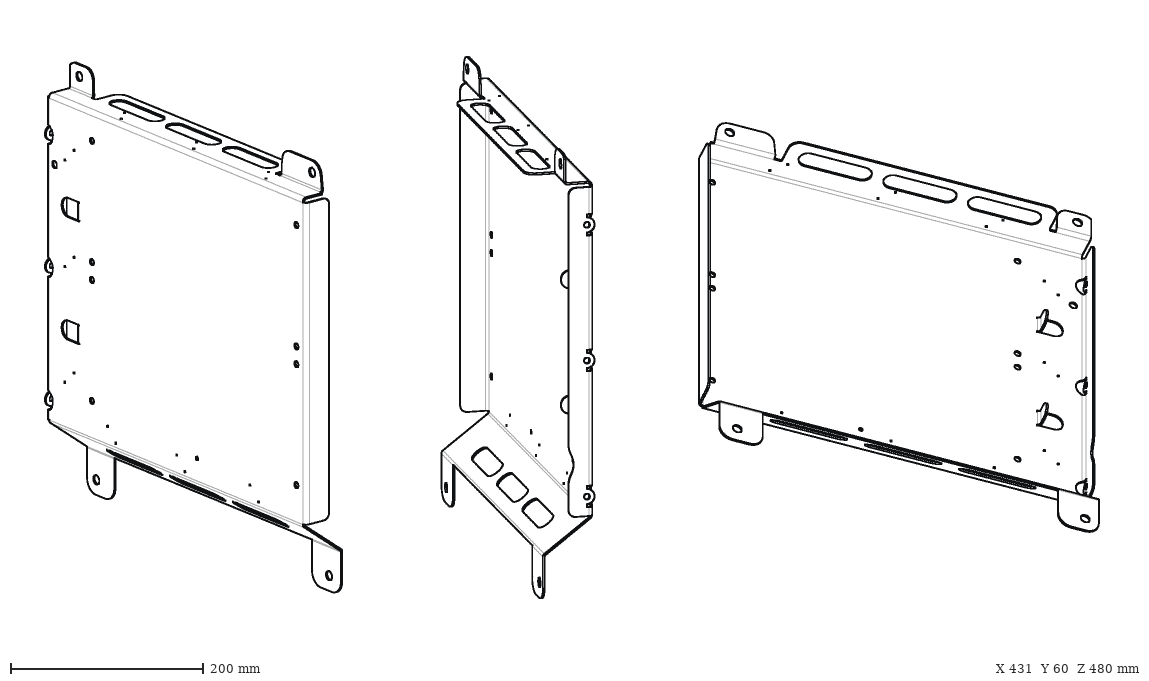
import cadquery as cq
import math

thickness = 2.0
wide_bend = 3.0
tight_bend = 2.0

overall_width = 431.0
panel_top = 205.5
panel_bottom = -149.5
panel_front = -29.0
shelf_corner_radius = 12.0
flange_corner_radius = 7.0

shelf_back = 30.0
shelf_step = -2.5
shelf_left = -165.0
shelf_right = 132.0
shelf_notch_radius = 2.0

ramp_angle = 53
ramp_length = 60.5
ramp_edge_z = -191.0
lower_tab_end = -240
lower_tab_left = -165.5
lower_tab_right = 162.5
lower_tab_radius = 15.0

upper_tab_end = 240
left_tab_base = (-213.5, -172.5)
left_tab_tip = (-213.5, -173.3)
left_tab_radii = (12.0, 12.0)
right_tab_base = (140.0, 207.5)
right_tab_tip = (142.5, 203.5)
right_tab_radii = (12.0, 15.0)

left_flange_back = -2.5
right_flange_back = 3.0
flange_notch_z = -93.0
flange_notch_half = 21.5
flange_notch_depth = 5.5

ear_heights = (164.5, 18.0, -128.5)
ear_y = -22.0
ear_radius = 8.0
ear_hole = 6.0
ear_opening_radius = 11.5

shelf_slot_length = 80.0
ramp_slot_length = 84.5
slot_width = 20.0
shelf_slot_centre = -17.5
shelf_slot_pitch = 94.0
shelf_slot_y = 9.0
ramp_slot_centre = -1.5
ramp_slot_pitch = 104.5
ramp_slot_z = -174.0

hook_heights = (93.0, -42.0)
hook_left = -189.5
hook_bend_line = -161.0
hook_width = 21.0
hook_gap = 1.0
hook_back = -7.0
hook_end_radius = 9.0

tab_hole = 10.0
tab_hole_left = -195.5
tab_hole_right = 191.0
upper_tab_hole_z = 227.0
lower_tab_hole_z = -223.0
mount_hole = 6.5
locating_hole = 8.0
cable_hole = 4.0
rivet_hole = 1.78
mount_columns = (-139, 200.0)
mount_rows = (177.5, 43.5, 24, -109.5)
locating_point = (-201.0, 134.5)
cable_point = (35.0, -125.3)
side_rivet_columns = (-169.0, -184.5)
side_rivet_rows = ((159.0, 144), (41.0, 26.5), (-87.0, -101.5))
lower_rivet_rows = {-130.5: (-113.5, 1.5, 123.0), -145.5: (-100.0, 15.0, 137.3)}
shelf_rivet_rows = {-5: (-114.5, 5, 124.5), -19.5: (-101.7, 18.5, 138.5)}

BIG = 960
OVERLAP = 5


middle_y = panel_front + thickness / 2
bend_middle = wide_bend + thickness / 2
bend_outside = wide_bend + thickness
bend_end_y = panel_front + bend_outside
panel_half_width = overall_width / 2 - bend_outside
shelf_top = panel_top + bend_outside
shelf_middle_z = shelf_top - thickness / 2


def direction(angle):
    """Unit vector at an angle in degrees from the local X axis."""
    return cq.Vector(math.cos(math.radians(angle)), math.sin(math.radians(angle)))


def bent_profile(plane, start, heading, lengths, bends):
    """Closed sheet profile: straight lengths joined by (turn angle, inside radius) bends.

    The path is the middle of the sheet and starts along `heading`.
    Each face of the sheet is kept as pieces (first, middle, last); lines have no middle.
    """
    faces = {thickness / 2: [], -thickness / 2: []}
    position = cq.Vector(*start)
    for index, length in enumerate(lengths):
        end = position + direction(heading) * length
        for offset, pieces in faces.items():
            shift = direction(heading + 90) * offset
            pieces.append((position + shift, None, end + shift))
        position = end
        if index == len(bends):
            break
        turn, inside_radius = bends[index]
        side = math.copysign(1, turn)
        radius = inside_radius + thickness / 2
        centre = position + direction(heading + 90 * side) * radius
        outward = heading - 90 * side
        for offset, pieces in faces.items():
            face_radius = radius - side * offset
            angles = (outward, outward + turn / 2, outward + turn)
            pieces.append(tuple(centre + direction(angle) * face_radius for angle in angles))
        position = centre + direction(outward + turn) * radius
        heading += turn

    left_face, right_face = faces.values()
    way_back = [(last, middle, first) for first, middle, last in reversed(right_face)]
    end_cap = (left_face[-1][2], None, way_back[0][0])
    outline = cq.Workplane(plane).moveTo(left_face[0][0].x, left_face[0][0].y)
    for _, middle, last in left_face + [end_cap] + way_back:
        if middle is None:
            outline = outline.lineTo(last.x, last.y)
        else:
            outline = outline.threePointArc((middle.x, middle.y), (last.x, last.y))
    return outline.close()


def box(x, y, z):
    """Block between the (low, high) limits along each axis."""
    size = [high - low for low, high in (x, y, z)]
    return cq.Workplane().box(*size, centered=False).translate((x[0], y[0], z[0]))


def front_holes(points, diameter):
    """Cutters along Y at (x, z) points."""
    return cq.Workplane("XZ").pushPoints(points).circle(diameter / 2).extrude(BIG / 2, both=True)


def main_strip():
    """Shelf, panel, ramp and lower tabs as one bent strip."""
    turn = math.radians(ramp_angle)
    tab_start = (panel_bottom - (bend_middle + tight_bend + thickness / 2) * math.sin(turn)
                 - ramp_length * math.cos(turn))
    lengths = (shelf_back - bend_end_y, panel_top - panel_bottom, ramp_length, tab_start - lower_tab_end)
    bends = ((90, wide_bend), (ramp_angle, wide_bend), (-ramp_angle, tight_bend))
    profile = bent_profile("YZ", (shelf_back, shelf_middle_z), 180, lengths, bends)
    strip = profile.extrude(panel_half_width, both=True)

    between_tabs = box((lower_tab_left, lower_tab_right), (-BIG, BIG), (-BIG, ramp_edge_z))
    strip = strip.cut(between_tabs)
    strip = strip.edges("|Y and <Z").fillet(lower_tab_radius)

    shelf_zone = (panel_top, BIG)
    for x in ((-BIG, shelf_left), (shelf_right, BIG)):
        step = box(x, (shelf_step, BIG), shelf_zone).edges("|Z and <Y").fillet(shelf_notch_radius)
        strip = strip.cut(step)
    return strip.edges("|Z").edges(">Y").fillet(shelf_corner_radius)


def upper_tab(base, tip, corner_radii):
    """Tab rising from the shelf between (left, right) places, tapering towards its tip."""
    rise = upper_tab_end - shelf_top - tight_bend
    start = (shelf_step - OVERLAP, shelf_middle_z)
    profile = bent_profile("YZ", start, 0, (OVERLAP, rise), ((90, tight_bend),))
    sheet = profile.extrude(BIG / 2, both=True)
    root_z = shelf_top - OVERLAP
    corners = [(base[0], root_z), (base[0], shelf_top), (tip[0], upper_tab_end),
               (tip[1], upper_tab_end), (base[1], shelf_top), (base[1], root_z)]
    outline = cq.Workplane("XZ").polyline(corners).close().extrude(BIG / 2, both=True)
    for corner, radius in zip(("<X", ">X"), corner_radii):
        outline = outline.edges("|Y").edges(">Z").edges(corner).fillet(radius)
    within_panel = box((-panel_half_width, panel_half_width), (-BIG, BIG), (0, BIG))
    return sheet.intersect(outline).intersect(within_panel)


def side_flange(back):
    """Flange bent back from the right edge of the panel."""
    length = back - bend_end_y
    start = (panel_half_width - OVERLAP, middle_y)
    profile = bent_profile("XY", start, 0, (OVERLAP, length), ((90, wide_bend),))
    flange = profile.extrude(panel_top - panel_bottom).translate((0, 0, panel_bottom))
    return flange.edges("|X and >Y").fillet(flange_corner_radius)


def left_flange_notch():
    """Smooth dip in the back edge of the left flange, made of two pairs of equal arcs."""
    half, depth = flange_notch_half, flange_notch_depth
    radius = (half ** 2 + depth ** 2) / (4 * depth)
    edge, bottom = left_flange_back, left_flange_back - depth
    return (cq.Workplane("YZ")
            .moveTo(edge, flange_notch_z + half)
            .radiusArc((edge - depth / 2, flange_notch_z + half / 2), radius)
            .radiusArc((bottom, flange_notch_z), -radius)
            .radiusArc((edge - depth / 2, flange_notch_z - half / 2), -radius)
            .radiusArc((edge, flange_notch_z - half), radius)
            .close().extrude(-BIG))


def ear_openings():
    """Round openings across the left bend that free the ears."""
    centres = [(-panel_half_width - bend_outside, z) for z in ear_heights]
    return (cq.Workplane("XZ").pushPoints(centres).circle(ear_opening_radius)
            .extrude(BIG).translate((0, ear_y, 0)))


def ears():
    """Round-ended ears in the plane of the left flange, each with a hole."""
    outer_x = -panel_half_width - bend_outside
    centres = [(ear_y, z) for z in ear_heights]
    plane = cq.Workplane("YZ", origin=(outer_x, 0, 0)).pushPoints(centres)
    return plane.circle(ear_radius).extrude(thickness)


def ear_holes():
    centres = [(ear_y, z) for z in ear_heights]
    return cq.Workplane("YZ").pushPoints(centres).circle(ear_hole / 2).extrude(-BIG)


def hook_window(z):
    radius = hook_width / 2
    return (cq.Workplane("XZ").moveTo(hook_bend_line, z - radius)
            .lineTo(hook_left + radius, z - radius)
            .threePointArc((hook_left, z), (hook_left + radius, z + radius))
            .lineTo(hook_bend_line, z + radius)
            .close().extrude(BIG / 2, both=True))


def hook_tongue(z):
    """Tongue bent back from the right side of its window, with a round end."""
    length = hook_back - bend_end_y
    start = (hook_bend_line + OVERLAP, middle_y)
    profile = bent_profile("XY", start, 180, (OVERLAP, length), ((-90, wide_bend),))
    width = hook_width - 2 * hook_gap
    tongue = profile.extrude(width / 2, both=True).translate((0, 0, z))
    return tongue.edges("|X and >Y").fillet(hook_end_radius)


def shelf_slots():
    centres = [(shelf_slot_centre + i * shelf_slot_pitch, shelf_slot_y) for i in (-1, 0, 1)]
    cutter = cq.Workplane("XY").pushPoints(centres).slot2D(shelf_slot_length, slot_width)
    return cutter.extrude(BIG)


def ramp_slots():
    """Slots square to the ramp."""
    turn = math.radians(ramp_angle)
    ramp_start_z = panel_bottom - bend_middle * math.tan(turn / 2)
    ramp_y = middle_y + (ramp_start_z - ramp_slot_z) * math.tan(turn)
    plane = cq.Plane((0, ramp_y, ramp_slot_z), (1, 0, 0), (0, math.cos(turn), math.sin(turn)))
    centres = [(ramp_slot_centre + i * ramp_slot_pitch, 0) for i in (-1, 0, 1)]
    cutter = cq.Workplane(plane).pushPoints(centres).slot2D(ramp_slot_length, slot_width)
    return cutter.extrude(2 * thickness, both=True)


def panel_holes():
    mounts = [(x, z) for x in mount_columns for z in mount_rows]
    rivets = [point for rows in side_rivet_rows for point in zip(side_rivet_columns, rows)]
    rivets += [(x, z) for z, places in lower_rivet_rows.items() for x in places]
    cutters = front_holes(mounts, mount_hole).union(front_holes(rivets, rivet_hole))
    cutters = cutters.union(front_holes([locating_point], locating_hole))
    return cutters.union(front_holes([cable_point], cable_hole))


def tab_holes():
    points = [(x, z) for x in (tab_hole_left, tab_hole_right) for z in (upper_tab_hole_z, lower_tab_hole_z)]
    return front_holes(points, tab_hole)


def shelf_rivet_holes():
    points = [(x, y) for y, places in shelf_rivet_rows.items() for x in places]
    return cq.Workplane("XY").pushPoints(points).circle(rivet_hole / 2).extrude(BIG)


left_flange = side_flange(left_flange_back).mirror("YZ").cut(left_flange_notch())

result = main_strip().union(side_flange(right_flange_back)).union(left_flange)
result = result.union(upper_tab(left_tab_base, left_tab_tip, left_tab_radii))
result = result.union(upper_tab(right_tab_base, right_tab_tip, right_tab_radii))
result = result.cut(ear_openings()).union(ears()).cut(ear_holes())
for height in hook_heights:
    result = result.cut(hook_window(height)).union(hook_tongue(height))
for cutter in (shelf_slots(), ramp_slots(), panel_holes(), tab_holes(), shelf_rivet_holes()):
    result = result.cut(cutter)